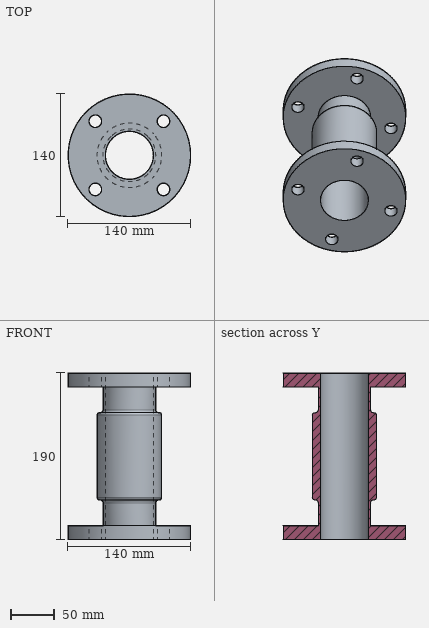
import cadquery as cq

total_length = 190.0
bore_diameter = 54.5

flange_diameter = 140.0
flange_thickness = 16.0
bolt_circle_diameter = 110.0
bolt_hole_diameter = 14.0
bolt_count = 4
first_bolt_angle = 45.0

neck_diameter = 60.2
body_diameter = 73.7
body_length = 100.0
shoulder_radius = 3.0


def cylinder(diameter, length, bottom):
    """Solid cylinder on the Z axis, starting at the given height."""
    return cq.Workplane("XY").workplane(offset=bottom).circle(diameter / 2).extrude(length)


def make_stepped_pipe():
    """Neck and body with rounded outer edges and filleted inner corners at both shoulders."""
    neck_length = total_length - 2 * flange_thickness
    neck = cylinder(neck_diameter, neck_length, -neck_length / 2)
    body = cylinder(body_diameter, body_length, -body_length / 2)
    shoulders = body.union(neck).faces("|Z").faces("not(<Z or >Z)")
    return shoulders.edges().fillet(shoulder_radius)


def make_flange(bottom):
    """Round flange with evenly spaced through bolt holes."""
    bolt_holes = (
        cq.Workplane("XY")
        .workplane(offset=bottom)
        .polarArray(bolt_circle_diameter / 2, first_bolt_angle, 360, bolt_count)
        .circle(bolt_hole_diameter / 2)
        .extrude(flange_thickness)
    )
    return cylinder(flange_diameter, flange_thickness, bottom).cut(bolt_holes)


bottom_flange = make_flange(-total_length / 2)
top_flange = make_flange(total_length / 2 - flange_thickness)
bore = cylinder(bore_diameter, total_length, -total_length / 2)

result = make_stepped_pipe().union(bottom_flange).union(top_flange).cut(bore)